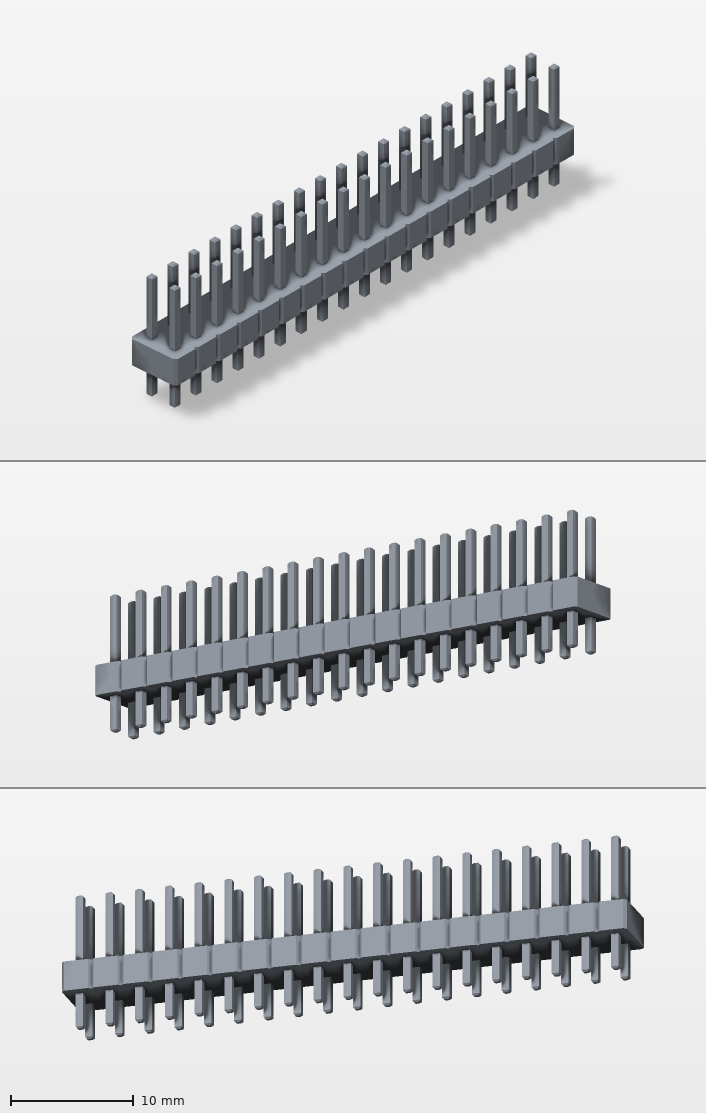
import cadquery as cq

pitch = 2.54
column_count = 2
row_count = 19

body_height = pitch
corner_chamfer = 0.25

pin_width = 0.64
pin_tip_chamfer = 0.15
pin_length_above = 6.0
pin_length_below = 3.0

body_width = column_count * pitch
row_offsets = [(row - (row_count - 1) / 2) * pitch for row in range(row_count)]


def make_body():
    """Chamfered cells, one per row; neighbouring chamfers form the side V-notches."""
    half_width = body_width / 2
    half_pitch = pitch / 2
    inner_x = half_width - corner_chamfer
    inner_y = half_pitch - corner_chamfer

    right_side = []
    for y in row_offsets:
        right_side += [
            (inner_x, y - half_pitch),
            (half_width, y - inner_y),
            (half_width, y + inner_y),
        ]
    right_side.append((inner_x, row_offsets[-1] + half_pitch))

    left_side = [(-x, y) for x, y in reversed(right_side)]
    return cq.Workplane("XY").polyline(right_side + left_side).close().extrude(body_height)


def make_pins():
    """Full grid of square pins, each chamfered at both tips."""
    pin_length = pin_length_below + body_height + pin_length_above
    return (
        cq.Workplane("XY")
        .workplane(offset=-pin_length_below)
        .rarray(pitch, pitch, column_count, row_count)
        .rect(pin_width, pin_width)
        .extrude(pin_length)
        .faces("<Z or >Z")
        .chamfer(pin_tip_chamfer)
    )


result = make_body().union(make_pins())